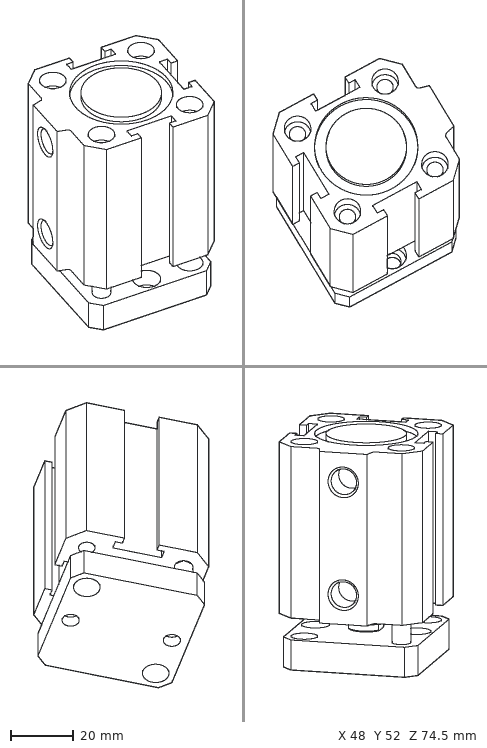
import cadquery as cq
import math

total_height = 74.5
plate_thickness = 10.0
gap = 7.6
housing_bottom = plate_thickness + gap
housing_height = total_height - housing_bottom

housing_width = 48.0
half_width = housing_width / 2
housing_chamfer = 5.4

rib_height = 4.0
rib_tip_width = 15.95
rib_flank_angle = 15.0
rib_root_radius = 1.2

slot_neck_width = 11.6
slot_width = 16.4
slot_lip = 2.45
slot_depth = 5.45

corner_offset = 16.25
mount_hole_diameter = 5.3
mount_bore_diameter = 8.6
mount_bore_depth = 5.6

recess_diameter = 33.3
cap_diameter = 26.0
recess_depth = 1.85

port_diameter = 8.5
port_mouth_diameter = 10.1
port_depth = 10.0
port_end_distance = 9.75

collar_diameter = 26.0
collar_height = 3.7
collar_chamfer = 1.05
rod_diameter = 12.0
rod_chamfer = 0.4
rod_flats_width = 10.0
rod_flats_height = 3.1

plate_width = 45.0
plate_chamfer = 3.5
pin_diameter = 6.0
access_hole_diameter = 8.6
side_hole_offset = 17.0
side_hole_diameter = 5.5
side_bore_diameter = 9.0
side_bore_depth = 5.95

pin_points = [(-corner_offset, corner_offset), (corner_offset, -corner_offset)]
access_points = [(-corner_offset, -corner_offset), (corner_offset, corner_offset)]


def chamfered_block(width, height, chamfer):
    """Square block on z = 0 with its four upright edges chamfered."""
    block = cq.Workplane("XY").rect(width, width).extrude(height)
    return block.edges("|Z").chamfer(chamfer)


def port_rib():
    """Tapered rib on the -Y face with concave fillets at its root."""
    angle = math.radians(rib_flank_angle)
    tip_half = rib_tip_width / 2
    root_half = tip_half + rib_height * math.tan(angle)
    turn = math.pi / 2 - angle
    tangent = rib_root_radius * math.tan(turn / 2)
    arc_end_x = root_half + tangent
    arc_center_y = -half_width - rib_root_radius
    arc_mid_x = arc_end_x - rib_root_radius * math.sin(turn / 2)
    arc_mid_y = arc_center_y + rib_root_radius * math.cos(turn / 2)
    flank_x = arc_end_x - rib_root_radius * math.sin(turn)
    flank_y = arc_center_y + rib_root_radius * math.cos(turn)
    tip_y = -half_width - rib_height
    return (
        cq.Workplane("XY")
        .moveTo(-arc_end_x, -half_width)
        .threePointArc((-arc_mid_x, arc_mid_y), (-flank_x, flank_y))
        .lineTo(-tip_half, tip_y)
        .lineTo(tip_half, tip_y)
        .lineTo(flank_x, flank_y)
        .threePointArc((arc_mid_x, arc_mid_y), (arc_end_x, -half_width))
        .lineTo(arc_end_x, 0)
        .lineTo(-arc_end_x, 0)
        .close()
        .extrude(housing_height)
    )


def t_slot(angle):
    """T-slot cutter for the +X face, turned about Z by angle degrees."""
    neck = cq.Workplane("XY").box(
        slot_depth, slot_neck_width, housing_height, centered=(False, True, False)
    )
    head = cq.Workplane("XY").box(
        slot_depth - slot_lip, slot_width, housing_height, centered=(False, True, False)
    )
    slot = neck.union(head).translate((half_width - slot_depth, 0, 0))
    return slot.rotate((0, 0, 0), (0, 0, 1), angle)


def port(height):
    """Blind port cutter along Y with a 45 degree chamfer at its mouth."""
    radius = port_diameter / 2
    mouth_radius = port_mouth_diameter / 2
    profile = [
        (0, 0),
        (mouth_radius, 0),
        (radius, mouth_radius - radius),
        (radius, port_depth),
        (0, port_depth),
    ]
    cutter = cq.Workplane("XY").polyline(profile).close().revolve(360, (0, 0), (0, 1))
    return cutter.translate((0, -half_width - rib_height, height))


def piston_rod():
    """Rod stub with a chamfered end and two flats facing -X and +X."""
    rod_length = gap - collar_height
    rod = cq.Workplane("XY").circle(rod_diameter / 2).extrude(rod_length)
    rod = rod.faces("<Z").chamfer(rod_chamfer)
    flat_depth = (rod_diameter - rod_flats_width) / 2
    for side in (-1, 1):
        flat = cq.Workplane("XY").box(
            flat_depth, rod_diameter, rod_flats_height, centered=(True, True, False)
        )
        rod = rod.cut(flat.translate((side * (rod_flats_width + flat_depth) / 2, 0, 0)))
    return rod.translate((0, 0, plate_thickness))


def collar():
    """Round collar under the housing, chamfered at its lower edge."""
    disc = cq.Workplane("XY").circle(collar_diameter / 2).extrude(collar_height)
    disc = disc.faces("<Z").chamfer(collar_chamfer)
    return disc.translate((0, 0, housing_bottom - collar_height))


def make_cylinder():
    """Cylinder housing together with its collar and piston rod."""
    body = chamfered_block(housing_width, housing_height, housing_chamfer).union(port_rib())
    for angle in (0, 90, 180):
        body = body.cut(t_slot(angle))
    for height in (port_end_distance, housing_height - port_end_distance):
        body = body.cut(port(height))
    body = (
        body.faces(">Z").workplane(origin=(0, 0, 0))
        .pushPoints(pin_points + access_points)
        .cboreHole(mount_hole_diameter, mount_bore_diameter, mount_bore_depth)
    )
    recess = (
        cq.Workplane("XY")
        .workplane(offset=housing_height - recess_depth)
        .circle(recess_diameter / 2)
        .circle(cap_diameter / 2)
        .extrude(recess_depth)
    )
    body = body.cut(recess).translate((0, 0, housing_bottom))
    return body.union(collar()).union(piston_rod())


def make_plate():
    """Front plate with two guide pins reaching the housing underside."""
    plate = chamfered_block(plate_width, plate_thickness, plate_chamfer)
    top = plate.faces(">Z").workplane(origin=(0, 0, 0))
    plate = top.pushPoints(access_points).hole(access_hole_diameter)
    top = plate.faces(">Z").workplane(origin=(0, 0, 0))
    plate = (
        top.pushPoints([(-side_hole_offset, 0), (side_hole_offset, 0)])
        .cboreHole(side_hole_diameter, side_bore_diameter, side_bore_depth)
    )
    pins = cq.Workplane("XY").pushPoints(pin_points).circle(pin_diameter / 2).extrude(housing_bottom)
    return plate.union(pins)


cylinder = make_cylinder()
plate = make_plate()

result = cq.Compound.makeCompound([cylinder.val(), plate.val()])